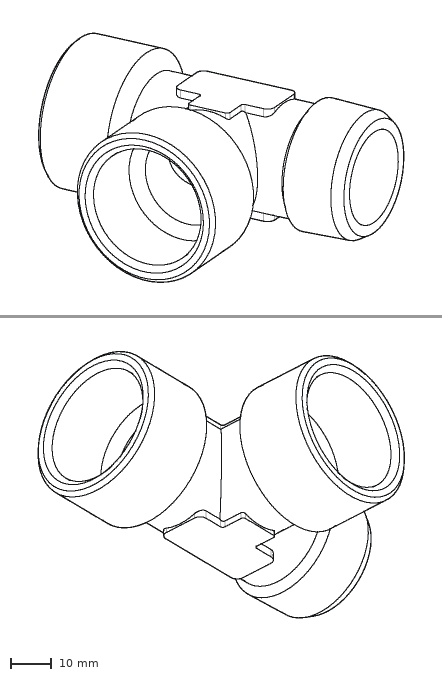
import cadquery as cq

overall_length = 84.0
socket_reach = 45.0
spigot_reach = overall_length - socket_reach

neck_radius = 29.0 / 2
bore_radius = 24.0 / 2

socket_radius = 39.0 / 2
socket_length = 19.8
socket_shoulder = 2.85
socket_chamfer = 1.1
mouth_radius = 33.35 / 2
mouth_depth = 1.5
socket_bore_radius = 30.3 / 2
socket_bore_depth = 19.0
bore_cone_length = 2.5

spigot_length = 17.6
spigot_shoulder = 1.7
spigot_root_radius = 33.6 / 2
spigot_tip_radius = 32.8 / 2
spigot_end_radius = 29.6 / 2
spigot_chamfer = 2.8

pad_height = 30.0
bar_length = 27.4
bar_width = 13.4
bar_corner_radius = 2.0
stem_width = 11.6
stem_reach = 13.7
stem_corner_radius = 0.75

ORIGIN = (0, 0, 0)
SPIGOT_DIRECTION = (1, 0, 0)
SOCKET_DIRECTIONS = [(-1, 0, 0), (0, -1, 0)]


def revolve_along(direction, profile):
    """Revolve (radius, distance) points about an axis through the origin."""
    plane = cq.Plane(origin=ORIGIN, xDir=(0, 0, 1), normal=direction)
    solid = cq.Workplane("XY").polyline(profile).close().revolve(360, (0, 0), (0, 1))
    upright = solid.rotate(ORIGIN, (1, 0, 0), 90).val()
    return cq.Workplane(obj=upright.moved(cq.Location(plane)))


def socket_body(direction):
    shoulder_end = socket_reach - socket_length
    return revolve_along(direction, [
        (0, 0),
        (neck_radius, 0),
        (neck_radius, shoulder_end - socket_shoulder),
        (socket_radius, shoulder_end),
        (socket_radius, socket_reach - socket_chamfer),
        (socket_radius - socket_chamfer, socket_reach),
        (0, socket_reach),
    ])


def socket_cavity(direction):
    bore_bottom = socket_reach - socket_bore_depth
    return revolve_along(direction, [
        (0, 0),
        (bore_radius, 0),
        (bore_radius, bore_bottom - bore_cone_length),
        (socket_bore_radius, bore_bottom),
        (socket_bore_radius, socket_reach - mouth_depth),
        (mouth_radius, socket_reach),
        (0, socket_reach),
    ])


def spigot_body():
    spigot_start = spigot_reach - spigot_length
    return revolve_along(SPIGOT_DIRECTION, [
        (0, 0),
        (neck_radius, 0),
        (neck_radius, spigot_start),
        (spigot_root_radius, spigot_start + spigot_shoulder),
        (spigot_tip_radius, spigot_reach - spigot_chamfer),
        (spigot_end_radius, spigot_reach),
        (0, spigot_reach),
    ])


def spigot_cavity():
    return revolve_along(SPIGOT_DIRECTION, [
        (0, 0),
        (bore_radius, 0),
        (bore_radius, spigot_reach),
        (0, spigot_reach),
    ])


def pad_block():
    """T-shaped block through the crossing; its two ends stand out as the pads."""
    half_bar = bar_length / 2
    half_stem = stem_width / 2
    block = (
        cq.Workplane("XY")
        .workplane(offset=-pad_height / 2)
        .polyline([
            (-half_bar, bar_width / 2),
            (half_bar, bar_width / 2),
            (half_bar, -bar_width / 2),
            (half_stem, -bar_width / 2),
            (half_stem, -stem_reach),
            (-half_stem, -stem_reach),
            (-half_stem, -bar_width / 2),
            (-half_bar, -bar_width / 2),
        ])
        .close()
        .extrude(pad_height)
    )
    bar_corners = block.edges("|Z").edges("<X or >X")
    block = bar_corners.fillet(bar_corner_radius)
    stem_corners = block.edges("|Z").edges(
        cq.selectors.BoxSelector(
            (-half_stem - stem_corner_radius, -stem_reach - stem_corner_radius, -pad_height),
            (half_stem + stem_corner_radius, 0, pad_height),
        )
    )
    return stem_corners.fillet(stem_corner_radius)


body = spigot_body().union(pad_block())
for direction in SOCKET_DIRECTIONS:
    body = body.union(socket_body(direction))

body = body.cut(spigot_cavity())
for direction in SOCKET_DIRECTIONS:
    body = body.cut(socket_cavity(direction))

result = body